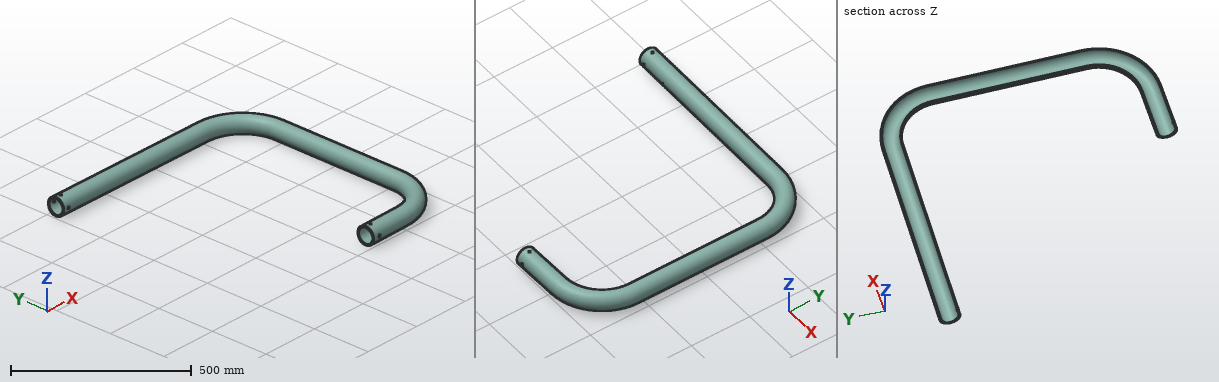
import cadquery as cq
import math

outer_diameter = 60.0
wall = 5.0
bend_radius = 150.0
back_length = 442.0
long_leg = 601.0
short_leg = 153.0
long_leg_flare = 0.5
short_leg_flare = 1.0

small_hole = 6.0
small_hole_inset = 19.5
large_hole = 8.0
large_hole_inset = 24.0

outer_radius = outer_diameter / 2
half_back = back_length / 2


def leg_points(side, length, flare):
    """Return bend middle, bend end, free end and free-end direction; side is +1 or -1 in Y."""
    lean = math.radians(flare)
    sweep = math.pi / 2 - lean

    def on_bend(angle):
        x = bend_radius * (math.cos(angle) - 1)
        y = half_back + bend_radius * math.sin(angle)
        return cq.Vector(x, side * y, 0)

    direction = cq.Vector(-math.cos(lean), side * math.sin(lean), 0)
    bend_end = on_bend(sweep)
    return on_bend(sweep / 2), bend_end, bend_end + direction * length, direction


upper_mid, upper_bend, upper_end, upper_direction = leg_points(1, long_leg, long_leg_flare)
lower_mid, lower_bend, lower_end, lower_direction = leg_points(-1, short_leg, short_leg_flare)
back_top = cq.Vector(0, half_back, 0)
back_bottom = cq.Vector(0, -half_back, 0)

centreline = cq.Wire.assembleEdges([
    cq.Edge.makeLine(upper_end, upper_bend),
    cq.Edge.makeThreePointArc(upper_bend, upper_mid, back_top),
    cq.Edge.makeLine(back_top, back_bottom),
    cq.Edge.makeThreePointArc(back_bottom, lower_mid, lower_bend),
    cq.Edge.makeLine(lower_bend, lower_end),
])
end_plane = cq.Plane(origin=upper_end, xDir=(0, 0, 1), normal=upper_direction * -1)
tube = (
    cq.Workplane(end_plane)
    .circle(outer_radius)
    .circle(outer_radius - wall)
    .sweep(cq.Workplane(obj=centreline))
)


def wall_hole(end, direction, outward, diameter, inset):
    """Cutter from inside a leg out through one wall, set in from the open end."""
    centre = end - direction * inset
    return cq.Workplane(obj=cq.Solid.makeCylinder(diameter / 2, outer_diameter, centre, outward))


up = cq.Vector(0, 0, 1)
upper_outward = up.cross(upper_direction) * -1
lower_outward = up.cross(lower_direction)

tube = tube.cut(wall_hole(upper_end, upper_direction, up, small_hole, small_hole_inset))
tube = tube.cut(wall_hole(upper_end, upper_direction, upper_outward, small_hole, small_hole_inset))
tube = tube.cut(wall_hole(upper_end, upper_direction, upper_outward * -1, small_hole, small_hole_inset))

tube = tube.cut(wall_hole(lower_end, lower_direction, up, small_hole, small_hole_inset))
tube = tube.cut(wall_hole(lower_end, lower_direction, lower_outward, large_hole, large_hole_inset))

result = tube